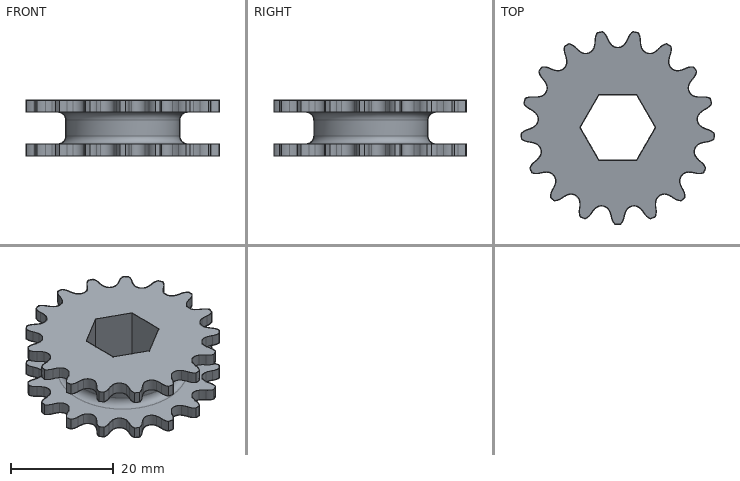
import cadquery as cq
import math


tooth_count = 17
tip_radius = 18.88
total_height = 10.93
plate_thickness = 2.37
hub_diameter = 22.25
hub_fillet = 1.55
bore_across_flats = 12.7
seat_clearance = 0.08
roller_pitch_ratio = 0.52

half_pitch_angle = math.pi / tooth_count
pitch = 2 * tip_radius / (0.6 + 1 / math.tan(half_pitch_angle))
pitch_radius = pitch / (2 * math.sin(half_pitch_angle))
roller_diameter = roller_pitch_ratio * pitch
seat_radius = (1.005 * roller_diameter + seat_clearance) / 2
seat_angle = math.radians(35 + 60 / tooth_count)
working_offset = 0.8 * roller_diameter
topping_offset = 1.4 * roller_diameter

plate_gap = total_height - 2 * plate_thickness
hub_radius = hub_diameter / 2
bore_across_corners = bore_across_flats / math.cos(math.pi / 6)


def offset(start, distance, angle):
    """Point at a distance from start, in a direction measured from +X."""
    return (start[0] + distance * math.cos(angle), start[1] + distance * math.sin(angle))


def flank_points():
    """Right-hand flank of a tooth gap centred on +Y, from the root out to the tooth tip."""
    roller_center = (0, pitch_radius)
    working_center = offset(roller_center, -working_offset, -seat_angle)
    working_radius = seat_radius + working_offset
    topping_center = offset(roller_center, topping_offset, -half_pitch_angle)

    center_step_x = topping_center[0] - working_center[0]
    center_step_y = topping_center[1] - working_center[1]
    flank_normal = math.atan2(center_step_y, center_step_x)
    topping_radius = math.hypot(center_step_x, center_step_y) - working_radius
    seat_end = offset(roller_center, seat_radius, -seat_angle)
    working_mid = offset(working_center, working_radius, (flank_normal - seat_angle) / 2)
    working_end = offset(working_center, working_radius, flank_normal)

    center_distance = math.hypot(*topping_center)
    tip_swing = math.acos(
        (center_distance**2 + tip_radius**2 - topping_radius**2) / (2 * center_distance * tip_radius)
    )
    tip_angle = math.atan2(topping_center[1], topping_center[0]) + tip_swing
    tip = offset((0, 0), tip_radius, tip_angle)
    tip_direction = math.atan2(tip[1] - topping_center[1], tip[0] - topping_center[0])
    topping_mid = offset(topping_center, topping_radius, (tip_direction + flank_normal + math.pi) / 2)
    return [seat_end, working_mid, working_end, topping_mid, tip]


def mirrored(point):
    """Point reflected to the left-hand flank."""
    return (-point[0], point[1])


def turned(point, angle):
    """Point rotated about the sprocket axis."""
    cosine = math.cos(angle)
    sine = math.sin(angle)
    return (point[0] * cosine - point[1] * sine, point[0] * sine + point[1] * cosine)


def toothed_plate(bottom):
    """Plate with one tooth gap centred on +Y, its lower face at the given height."""
    flank = flank_points()
    root = (0, pitch_radius - seat_radius)
    tooth_crest = offset((0, 0), tip_radius, math.pi / 2 - half_pitch_angle)
    outline = cq.Workplane("XY").workplane(offset=bottom).moveTo(*mirrored(flank[-1]))
    for index in range(tooth_count):
        angle = -2 * half_pitch_angle * index
        right = [turned(point, angle) for point in flank]
        left = [turned(mirrored(point), angle) for point in flank]
        seat_start, left_working_mid, left_working_end, left_topping_mid, _ = left
        seat_end, working_mid, working_end, topping_mid, tip = right
        outline = (
            outline.threePointArc(left_topping_mid, left_working_end)
            .threePointArc(left_working_mid, seat_start)
            .threePointArc(turned(root, angle), seat_end)
            .threePointArc(working_mid, working_end)
            .threePointArc(topping_mid, tip)
        )
        next_tip = turned(mirrored(flank[-1]), angle - 2 * half_pitch_angle)
        outline = outline.threePointArc(turned(tooth_crest, angle), next_tip)
    return outline.close().extrude(plate_thickness)


def hub():
    """Round hub between the plates, flaring into each plate with a concave fillet."""
    top = plate_gap / 2
    straight_top = top - hub_fillet
    flare_radius = hub_radius + hub_fillet
    return (
        cq.Workplane("XZ")
        .moveTo(0, -top)
        .lineTo(flare_radius, -top)
        .radiusArc((hub_radius, -straight_top), hub_fillet)
        .lineTo(hub_radius, straight_top)
        .radiusArc((flare_radius, top), hub_fillet)
        .lineTo(0, top)
        .close()
        .revolve(360, (0, 0, 0), (0, 1, 0))
    )


def hex_bore():
    """Hexagonal through bore with two corners on the X axis."""
    return (
        cq.Workplane("XY")
        .workplane(offset=-total_height / 2)
        .polygon(6, bore_across_corners)
        .extrude(total_height)
    )


lower_plate = toothed_plate(-total_height / 2)
upper_plate = toothed_plate(plate_gap / 2)
result = hub().union(lower_plate).union(upper_plate).cut(hex_bore())